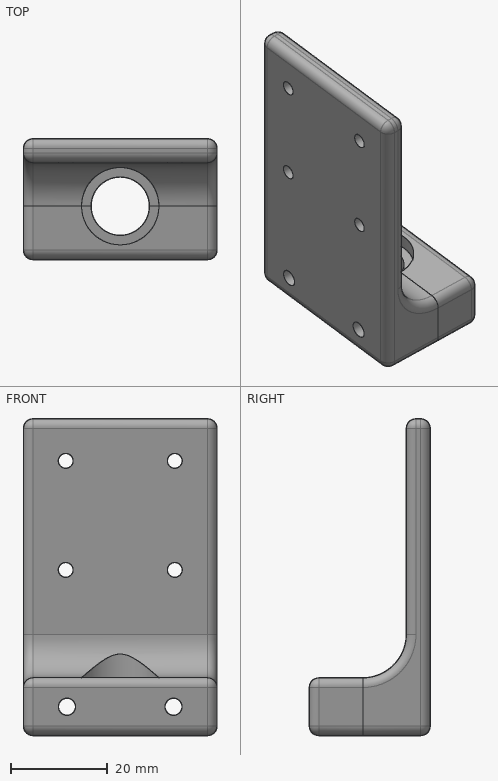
import cadquery as cq

width = 40.0
depth = 25.0
height = 65.5
plate_thickness = 5.0
foot_height = 12.0
inner_radius = 9.0
edge_radius = 2.0

bore_diameter = 12.0
counterbore_diameter = 16.0
counterbore_depth = 3.0
split_y = -(plate_thickness + inner_radius)

mount_diameter = 3.0
mount_spacing = 22.5
mount_top_offset = 8.7

screw_diameter = 3.5
screw_spacing = 22.0

margin = 3.3


def rounded_l_block():
    """L-shaped block with a concave inner corner and all outer edges rounded."""
    inner_corner_top = foot_height + inner_radius
    profile = (
        cq.Workplane("YZ")
        .lineTo(0, height)
        .lineTo(-plate_thickness, height)
        .lineTo(-plate_thickness, inner_corner_top)
        .radiusArc((split_y, foot_height), inner_radius)
        .lineTo(-depth, foot_height)
        .lineTo(-depth, 0)
        .close()
    )
    block = profile.extrude(width / 2, both=True)
    side_edges = block.faces("<X or >X").edges()
    cross_edges = block.faces("<Y or >Y or <Z or >Z").edges("|X")
    return block.newObject(side_edges.vals() + cross_edges.vals()).fillet(edge_radius)


def stepped_bore():
    """Tool for the vertical bore with equal counterbores above and below, open upward past the inner corner."""
    bore = cq.Workplane("XY", origin=(0, split_y, 0)).circle(bore_diameter / 2).extrude(foot_height)
    upper_floor = (0, split_y, foot_height - counterbore_depth)
    upper_counterbore = cq.Workplane("XY", origin=upper_floor).circle(counterbore_diameter / 2).extrude(height)
    lower_counterbore = (
        cq.Workplane("XY", origin=(0, split_y, -margin))
        .circle(counterbore_diameter / 2)
        .extrude(margin + counterbore_depth)
    )
    return bore.union(upper_counterbore).union(lower_counterbore)


def holes_along_y(points, diameter):
    """Tool for round holes through the full depth at the given (x, z) points."""
    return (
        cq.Workplane("XZ", origin=(0, margin, 0))
        .pushPoints(points)
        .circle(diameter / 2)
        .extrude(depth + 2 * margin)
    )


def mounting_holes():
    """Tool for the square pattern of four holes in the plate."""
    upper_z = height - mount_top_offset
    points = [(side * mount_spacing / 2, z) for side in (-1, 1) for z in (upper_z, upper_z - mount_spacing)]
    return holes_along_y(points, mount_diameter)


def screw_holes():
    """Tool for the clamp screw holes, one on each side of the bore at half the foot height."""
    points = [(side * screw_spacing / 2, foot_height / 2) for side in (-1, 1)]
    return holes_along_y(points, screw_diameter)


def cap_region():
    """Box that encloses everything in front of the split plane."""
    return (
        cq.Workplane("XY", origin=(0, split_y, -margin))
        .box(width + 2 * margin, depth, height + 2 * margin, centered=(True, False, False))
        .translate((0, -depth, 0))
    )


def make_bracket(whole):
    """Plate and rear half of the clamp."""
    return whole.cut(cap_region())


def make_clamp_cap(whole):
    """Front half of the clamp."""
    return whole.intersect(cap_region())


clamp_bracket = rounded_l_block().cut(stepped_bore()).cut(mounting_holes()).cut(screw_holes())
bracket = make_bracket(clamp_bracket)
clamp_cap = make_clamp_cap(clamp_bracket)

result = cq.Compound.makeCompound([*bracket.vals(), *clamp_cap.vals()])